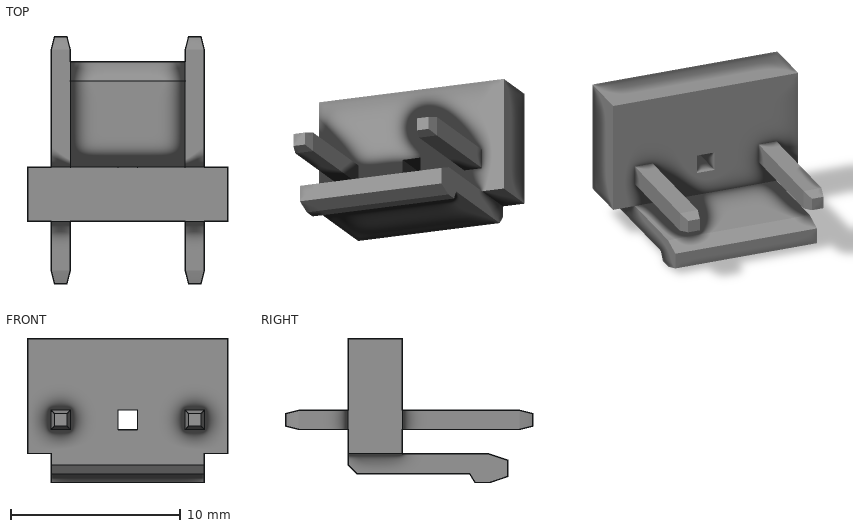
import cadquery as cq

block_width = 11.83
block_depth = 3.2
block_height = 6.79

arm_width = 9.05
arm_thickness = 1.18
arm_chamfer = 0.51
arm_reach = 9.43
nose_top_drop = 0.38
nose_top_run = 1.14
nose_depth = 1.71
nose_face_bottom = 1.35
nose_flat_start = 7.49
nose_flat_end = 8.35
nose_ramp_start = 7.17

pin_size = 1.14
pin_length = 14.6
pin_front = 3.7
pin_pitch = 3.95
pin_height = 2.0
tip_length = 0.79
tip_size = 0.75
pin_places = (-pin_pitch, pin_pitch)


def make_arm():
    """Latch arm: a side profile in Y and Z, extruded symmetrically across the width."""
    profile = [
        (0, 0),
        (0, arm_chamfer - arm_thickness),
        (arm_chamfer, -arm_thickness),
        (nose_ramp_start, -arm_thickness),
        (nose_flat_start, -nose_depth),
        (nose_flat_end, -nose_depth),
        (arm_reach, -nose_face_bottom),
        (arm_reach, -nose_top_drop),
        (arm_reach - nose_top_run, 0),
    ]
    return cq.Workplane("YZ").polyline(profile).close().extrude(arm_width / 2, both=True)


def make_pin_hole(x):
    """Square passage through the block at one contact position."""
    return (
        cq.Workplane("XY")
        .box(pin_size, block_depth, pin_size, centered=(True, False, True))
        .translate((x, 0, pin_height))
    )


def make_housing():
    """Block and latch arm in one piece, with three contact positions."""
    block = cq.Workplane("XY").box(
        block_width, block_depth, block_height, centered=(True, False, False)
    )
    body = block.union(make_arm())
    for x in (0, *pin_places):
        body = body.cut(make_pin_hole(x))
    return body


def make_tip():
    """Tapered pin end, pointing along +Z from its base."""
    return (
        cq.Workplane("XY")
        .rect(pin_size, pin_size)
        .workplane(offset=tip_length)
        .rect(tip_size, tip_size)
        .loft(ruled=True)
    )


def make_pin(x):
    """Square pin along Y, tapered on all four sides at both ends."""
    shank_length = pin_length - 2 * tip_length
    shank = cq.Workplane("XY").rect(pin_size, pin_size).extrude(shank_length)
    rear_tip = make_tip().translate((0, 0, shank_length))
    front_tip = make_tip().mirror("XY")
    pin = shank.union(rear_tip).union(front_tip)
    return pin.rotate((0, 0, 0), (1, 0, 0), -90).translate((x, tip_length - pin_front, pin_height))


housing = make_housing()
pins = [make_pin(x) for x in pin_places]

result = cq.Compound.makeCompound([housing.val(), *[pin.val() for pin in pins]])